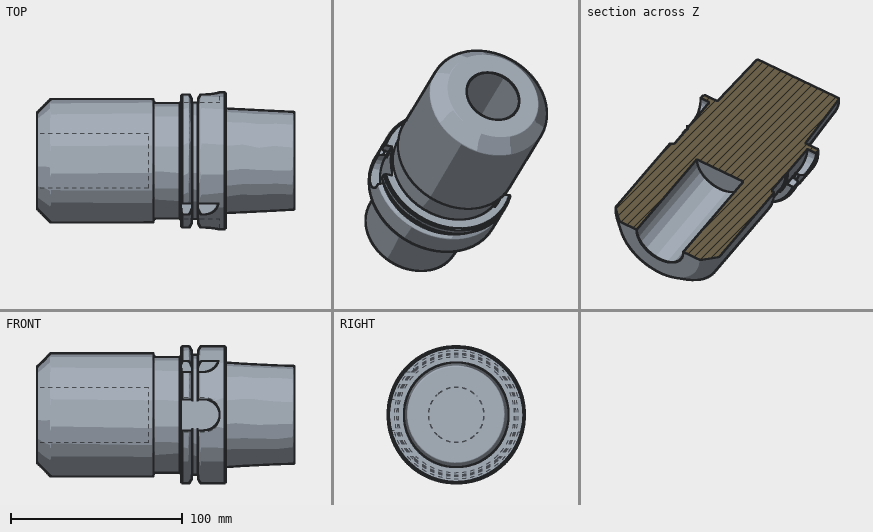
import cadquery as cq
import math


nose_length = 110.0
nose_radius = 36.0
nose_bevel = 8.0
nose_edge_fillet = 1.0
nose_end_x = -42.0
neck_radius = 33.8
neck_fillet = 1.0

flange_radius = 40.0
flange_width = 26.0
flange_chamfer = 0.9
groove_x = -18.0
groove_floor_radius = 35.0
groove_floor_width = 3.6
groove_wall_radius = 37.4
groove_flank_angle = 30.0
groove_edge_fillet = 1.0
groove_floor_fillet = 0.4
clearance = 0.5

shank_length = 40.0
shank_base_radius = 30.55
shank_taper = 0.05
shank_end_fillet = 1.0

bore_diameter = 32.0
bore_mouth_diameter = 32.5
bore_depth = 65.0

slot_end_x = -3.6
slot_floor = 34.0
slot_corner_radius = 9.0
front_slot_width = 18.0
rear_slot_width = 20.0
notch_corner = 25.0
notch_radius = 9.0
notch_run_out_x = -12.9


def revolve_about_x(profile):
    """Close an open half-section and turn it a full circle about the X axis."""
    return profile.close().revolve(360, (0, 0, 0), (1, 0, 0))


def make_nose():
    """Nose cylinder with a bevelled front end and rounded edges."""
    nose = revolve_about_x(
        cq.Workplane("XY")
        .moveTo(-nose_length, 0)
        .lineTo(-nose_length, nose_radius - nose_bevel)
        .lineTo(-nose_length + nose_bevel, nose_radius)
        .lineTo(nose_end_x, nose_radius)
        .lineTo(nose_end_x, 0)
    )
    return nose.edges("%CIRCLE").fillet(nose_edge_fillet)


def make_neck():
    """Neck with a concave fillet at each end, where it meets the nose and the flange."""
    flange_left = -flange_width
    bend = neck_fillet * math.sqrt(0.5)
    left_center = nose_end_x + neck_fillet
    right_center = flange_left - neck_fillet
    center_radius = neck_radius + neck_fillet
    return revolve_about_x(
        cq.Workplane("XY")
        .moveTo(nose_end_x, 0)
        .lineTo(nose_end_x, center_radius)
        .threePointArc((left_center - bend, center_radius - bend), (left_center, neck_radius))
        .lineTo(right_center, neck_radius)
        .threePointArc((right_center + bend, center_radius - bend), (flange_left, center_radius))
        .lineTo(flange_left, 0)
    )


def make_flange():
    """Chamfered disc with a gripper groove: straight walls that open out into a V."""
    disc = (
        cq.Workplane("YZ", origin=(-flange_width, 0, 0))
        .circle(flange_radius)
        .extrude(flange_width)
        .edges()
        .chamfer(flange_chamfer)
    )
    half_floor = groove_floor_width / 2
    flank_height = flange_radius - groove_wall_radius
    half_mouth = half_floor + flank_height * math.tan(math.radians(groove_flank_angle))
    clear_radius = flange_radius + clearance
    groove = revolve_about_x(
        cq.Workplane("XY")
        .moveTo(groove_x - half_floor, groove_floor_radius)
        .lineTo(groove_x - half_floor, groove_wall_radius)
        .lineTo(groove_x - half_mouth, flange_radius)
        .lineTo(groove_x - half_mouth, clear_radius)
        .lineTo(groove_x + half_mouth, clear_radius)
        .lineTo(groove_x + half_mouth, flange_radius)
        .lineTo(groove_x + half_floor, groove_wall_radius)
        .lineTo(groove_x + half_floor, groove_floor_radius)
    )
    groove = groove.edges(cq.selectors.RadiusNthSelector(0)).fillet(groove_floor_fillet)
    flange = disc.cut(groove)
    mouth_edges = cq.selectors.BoxSelector(
        (groove_x - half_mouth - clearance, -clear_radius, -clear_radius),
        (groove_x + half_mouth + clearance, clear_radius, clear_radius),
    )
    outermost = cq.selectors.RadiusNthSelector(-1)
    return flange.edges(mouth_edges).edges(outermost).fillet(groove_edge_fillet)


def make_shank():
    """Solid taper shank; the taper is the radius lost per unit of length."""
    end_radius = shank_base_radius - shank_taper * shank_length
    shank = revolve_about_x(
        cq.Workplane("XY")
        .lineTo(0, shank_base_radius)
        .lineTo(shank_length, end_radius)
        .lineTo(shank_length, 0)
    )
    return shank.faces(">X").edges().fillet(shank_end_fillet)


def make_bore():
    """Blind tool bore with a small chamfer at its mouth."""
    bore_radius = bore_diameter / 2
    mouth_radius = bore_mouth_diameter / 2
    mouth_chamfer = mouth_radius - bore_radius
    return revolve_about_x(
        cq.Workplane("XY")
        .moveTo(-nose_length, 0)
        .lineTo(-nose_length, mouth_radius)
        .lineTo(-nose_length + mouth_chamfer, bore_radius)
        .lineTo(-nose_length + bore_depth, bore_radius)
        .lineTo(-nose_length + bore_depth, 0)
    )


def make_drive_slot(width, side):
    """Flat-bottomed slot in the flange; side is -1 for -Y and +1 for +Y."""
    corner_x = slot_end_x - slot_corner_radius
    half_width = width / 2
    flat = half_width - slot_corner_radius
    bend = slot_corner_radius * math.sqrt(0.5)
    outline = (
        cq.Workplane("XZ")
        .moveTo(-flange_width, -half_width)
        .lineTo(corner_x, -half_width)
        .threePointArc((corner_x + bend, -flat - bend), (slot_end_x, -flat))
    )
    if flat > 0:
        outline = outline.lineTo(slot_end_x, flat)
    outline = (
        outline
        .threePointArc((corner_x + bend, flat + bend), (corner_x, half_width))
        .lineTo(-flange_width, half_width)
        .close()
    )
    depth = flange_radius - slot_floor
    return outline.extrude(-side * depth).translate((0, side * slot_floor, 0))


def make_notch():
    """Orientation notch on the -Y, +Z side: a flat floor that curves up out of the flange."""
    rise = flange_radius - notch_corner
    run_out_top = notch_corner + notch_radius
    bend = notch_radius * math.sqrt(0.5)
    return (
        cq.Workplane("XZ", origin=(0, -notch_corner, 0))
        .moveTo(-flange_width, notch_corner)
        .lineTo(notch_run_out_x, notch_corner)
        .threePointArc(
            (notch_run_out_x + bend, run_out_top - bend),
            (notch_run_out_x + notch_radius, run_out_top),
        )
        .lineTo(-flange_width, run_out_top)
        .close()
        .extrude(rise)
    )


result = (
    make_nose()
    .union(make_neck())
    .union(make_flange())
    .union(make_shank())
    .cut(make_bore())
    .cut(make_drive_slot(front_slot_width, -1))
    .cut(make_drive_slot(rear_slot_width, 1))
    .cut(make_notch())
)